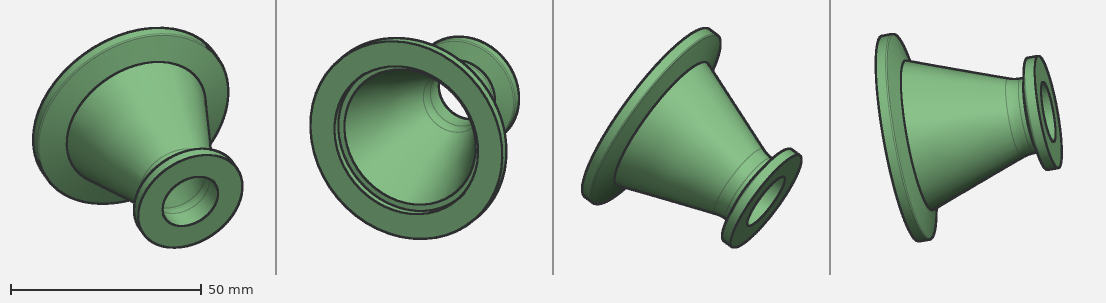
import cadquery as cq
import math

length = 40.0
large_flange_radius = 27.5
small_flange_radius = 15.0
clamp_angle = math.radians(15)
rim_round = 0.4

cone_start_x = 5.0
cone_start_radius = 20.0
cone_end_x = 31.0
neck_start_x = 34.3
neck_radius = 10.0

wall = 2.05
bore_radius = neck_radius - wall
mouth_radius = 18.8
seat_radius = 20.55
seat_depth = 2.55

refinement_steps = 20


def blend_into_neck(start_x, start_radius, end_radius):
    """Cone from the start point that runs tangentially into the neck by an arc.

    Returns the cone end, a point halfway along the arc, and the arc end.
    """
    blend_length = neck_start_x - cone_end_x
    drop = 0
    for _ in range(refinement_steps):
        angle = math.atan2(start_radius - end_radius - drop, cone_end_x - start_x)
        drop = blend_length * math.tan(angle / 2)
    arc_radius = blend_length / math.sin(angle)
    middle = (
        neck_start_x - arc_radius * math.sin(angle / 2),
        end_radius + arc_radius * (1 - math.cos(angle / 2)),
    )
    return (cone_end_x, end_radius + drop), middle, (neck_start_x, end_radius)


large_rim_x = cone_start_x - (large_flange_radius - cone_start_radius) * math.tan(clamp_angle)
small_rim_x = length - large_rim_x
small_clamp_x = small_rim_x - (small_flange_radius - neck_radius) * math.tan(clamp_angle)

outer_cone_end, outer_arc_middle, outer_arc_end = blend_into_neck(
    cone_start_x, cone_start_radius, neck_radius
)
inner_cone_end, inner_arc_middle, inner_arc_end = blend_into_neck(
    seat_depth, mouth_radius, bore_radius
)


def revolve_about_x(profile):
    """Turn a closed half-profile, drawn as (x, radius) in the XZ plane, into a solid."""
    return profile.revolve(360, (0, 0, 0), (1, 0, 0))


def rim_edge(x, radius):
    """Select the circular edge where a rim meets its clamping face."""
    margin = 0.05
    reach = radius + margin
    return cq.selectors.BoxSelector(
        (x - margin, -reach, -reach), (x + margin, reach, reach), boundingbox=True
    )


body = revolve_about_x(
    cq.Workplane("XZ")
    .lineTo(0, large_flange_radius)
    .lineTo(large_rim_x, large_flange_radius)
    .lineTo(cone_start_x, cone_start_radius)
    .lineTo(*outer_cone_end)
    .threePointArc(outer_arc_middle, outer_arc_end)
    .lineTo(small_clamp_x, neck_radius)
    .lineTo(small_rim_x, small_flange_radius)
    .lineTo(length, small_flange_radius)
    .lineTo(length, 0)
    .close()
)
for rim_x, rim_radius in (
    (large_rim_x, large_flange_radius),
    (small_rim_x, small_flange_radius),
):
    body = body.edges(rim_edge(rim_x, rim_radius)).fillet(rim_round)

passage = revolve_about_x(
    cq.Workplane("XZ")
    .lineTo(0, seat_radius)
    .lineTo(seat_depth, seat_radius)
    .lineTo(seat_depth, mouth_radius)
    .lineTo(*inner_cone_end)
    .threePointArc(inner_arc_middle, inner_arc_end)
    .lineTo(length, bore_radius)
    .lineTo(length, 0)
    .close()
)

result = body.cut(passage)